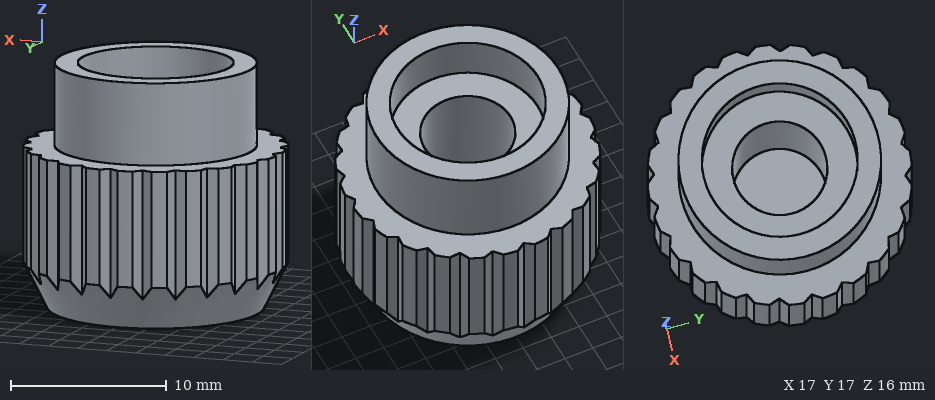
import cadquery as cq
import math

total_height = 16.0
shoulder_height = 10.6
taper_height = 3.0

collar_diameter = 13.0
counterbore_diameter = 10
bore_diameter = 6.1
base_diameter = 14.0

counterbore_depth = 3.0
floor_thickness = 3.0

flute_count = 24
grip_half_width = 8.48
flute_root_radius = 8.07
flute_half_width = 0.61

flute_pitch = 2 * math.pi / flute_count
flute_half_angle = math.atan(flute_half_width / grip_half_width)
crest_radius = math.hypot(grip_half_width, flute_half_width)


def polar(radius, angle):
    return (radius * math.cos(angle), radius * math.sin(angle))


def fluted_grip():
    outline = cq.Workplane("XY").moveTo(*polar(flute_root_radius, 0))
    for index in range(flute_count):
        root = index * flute_pitch
        next_root = root + flute_pitch
        outline = outline.lineTo(*polar(crest_radius, root + flute_half_angle))
        outline = outline.threePointArc(
            polar(crest_radius, root + flute_pitch / 2),
            polar(crest_radius, next_root - flute_half_angle),
        )
        if index < flute_count - 1:
            outline = outline.lineTo(*polar(flute_root_radius, next_root))
    return outline.close().extrude(shoulder_height)


def tapered_envelope():
    """Solid of revolution that cones the lower end of the grip down to the base."""
    clear_radius = crest_radius + 0.17
    return (
        cq.Workplane("XZ")
        .moveTo(0, 0)
        .lineTo(base_diameter / 2, 0)
        .lineTo(crest_radius, taper_height)
        .lineTo(clear_radius, taper_height)
        .lineTo(clear_radius, shoulder_height)
        .lineTo(0, shoulder_height)
        .close()
        .revolve(360, (0, 0, 0), (0, 1, 0))
    )


def cylinder(diameter, bottom, top):
    return cq.Workplane("XY").workplane(offset=bottom).circle(diameter / 2).extrude(top - bottom)


grip = fluted_grip().intersect(tapered_envelope())
collar = cylinder(collar_diameter, shoulder_height, total_height)
counterbore = cylinder(counterbore_diameter, total_height - counterbore_depth, total_height)
blind_bore = cylinder(bore_diameter, floor_thickness, total_height)

result = grip.union(collar).cut(counterbore).cut(blind_bore)